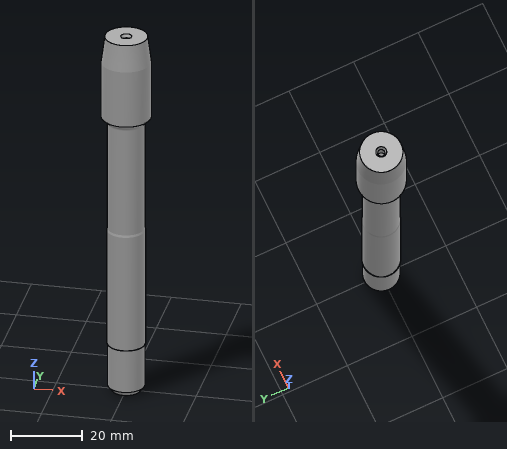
import cadquery as cq
import math

length = 110.0

collar_radius = 14.2 / 2
nose_radius = 12.1 / 2
nose_length = 7.9
collar_bottom_z = 85.1
shoulder_angle = math.radians(40)
shoulder_fillet = 1.3

neck_radius = 10.7 / 2
body_radius = 11.0 / 2
pilot_radius = 10.6 / 2
body_top_z = 49.8
body_lead_in = 0.7
body_bottom_z = 14.7
pilot_top_z = body_bottom_z - (body_radius - pilot_radius)
tip_radius = 4.0
tip_length = 1.6

hole_radius = 2.0 / 2
hole_depth = 4.0
countersink_radius = 3.1 / 2
countersink_angle = math.radians(60)
drill_point_angle = math.radians(120)


def make_shaft():
    """Revolve the stepped half-profile, with a filleted collar shoulder."""
    corner_z = collar_bottom_z - (collar_radius - neck_radius) * math.tan(shoulder_angle)

    turn = math.pi / 2 - shoulder_angle
    tangent_length = shoulder_fillet * math.tan(turn / 2)
    fillet_bottom_z = corner_z - tangent_length
    fillet_center_r = neck_radius + shoulder_fillet

    def fillet_point(angle):
        r = fillet_center_r - shoulder_fillet * math.cos(angle)
        z = fillet_bottom_z + shoulder_fillet * math.sin(angle)
        return (r, z)

    profile = (
        cq.Workplane("XZ")
        .moveTo(0, 0)
        .lineTo(tip_radius, 0)
        .lineTo(pilot_radius, tip_length)
        .lineTo(pilot_radius, pilot_top_z)
        .lineTo(body_radius, body_bottom_z)
        .lineTo(body_radius, body_top_z)
        .lineTo(neck_radius, body_top_z + body_lead_in)
        .lineTo(neck_radius, fillet_bottom_z)
        .threePointArc(fillet_point(turn / 2), fillet_point(turn))
        .lineTo(collar_radius, collar_bottom_z)
        .lineTo(collar_radius, length - nose_length)
        .lineTo(nose_radius, length)
        .lineTo(0, length)
        .close()
    )
    return profile.revolve(360, (0, 0, 0), (0, 1, 0))


def make_center_hole():
    """Countersunk blind hole ending in a conical drill point."""
    countersink_depth = (countersink_radius - hole_radius) / math.tan(countersink_angle / 2)
    point_depth = hole_radius / math.tan(drill_point_angle / 2)
    profile = (
        cq.Workplane("XZ")
        .moveTo(0, length)
        .lineTo(countersink_radius, length)
        .lineTo(hole_radius, length - countersink_depth)
        .lineTo(hole_radius, length - hole_depth)
        .lineTo(0, length - hole_depth - point_depth)
        .close()
    )
    return profile.revolve(360, (0, 0, 0), (0, 1, 0))


result = make_shaft().cut(make_center_hole())